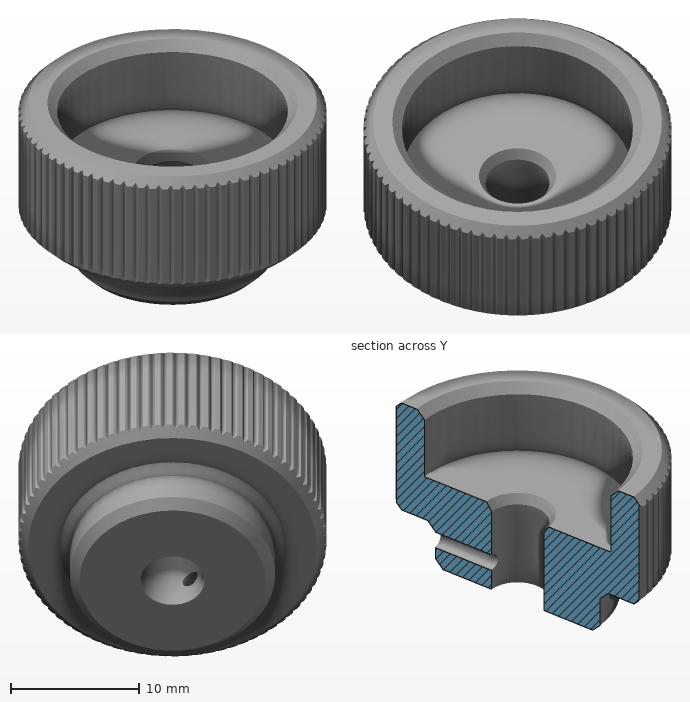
import cadquery as cq
import math

total_height = 14.0
head_diameter = 24.0
head_height = 10.0
edge_chamfer = 0.75

collar_diameter = 16.0

recess_diameter = 18.0
recess_depth = 6.0
bore_diameter = 5.0
bore_chamfer_width = 0.5
bore_chamfer_depth = 0.75

pin_hole_diameter = 1.4
pin_hole_height = 2.5

groove_count = 80
groove_depth = 0.25
groove_angle = 90.0
cutter_clearance = 0.1
cutter_wall = 1.0

head_radius = head_diameter / 2
collar_radius = collar_diameter / 2
recess_radius = recess_diameter / 2
bore_radius = bore_diameter / 2
head_bottom = total_height - head_height
recess_floor = total_height - recess_depth


def turned_body():
    """Revolve the half section of the knob about the Z axis."""
    half_section = [
        (bore_radius, 0),
        (collar_radius - edge_chamfer, 0),
        (collar_radius, edge_chamfer),
        (collar_radius, head_bottom - edge_chamfer),
        (collar_radius + edge_chamfer, head_bottom),
        (head_radius - edge_chamfer, head_bottom),
        (head_radius, head_bottom + edge_chamfer),
        (head_radius, total_height - edge_chamfer),
        (head_radius - edge_chamfer, total_height),
        (recess_radius + edge_chamfer, total_height),
        (recess_radius, total_height - edge_chamfer),
        (recess_radius, recess_floor),
        (bore_radius + bore_chamfer_width, recess_floor),
        (bore_radius, recess_floor - bore_chamfer_depth),
    ]
    return cq.Workplane("XZ").polyline(half_section).close().revolve(360, (0, 0), (0, 1))


def knurl_cutter():
    """Ring whose inner wall carries inward teeth, one per knurl groove."""
    pitch_angle = 2 * math.pi / groove_count
    root_radius = head_radius - groove_depth
    slope = math.tan(math.radians(groove_angle / 2))
    tooth_base = head_radius + cutter_clearance
    half_width = (groove_depth + cutter_clearance) * slope
    outline = []
    for index in range(groove_count):
        angle = index * pitch_angle
        for radial, sideways in (
            (tooth_base, -half_width),
            (root_radius, 0),
            (tooth_base, half_width),
        ):
            x = radial * math.cos(angle) - sideways * math.sin(angle)
            y = radial * math.sin(angle) + sideways * math.cos(angle)
            outline.append((x, y))
    ring_radius = tooth_base + cutter_wall
    return (
        cq.Workplane("XY")
        .workplane(offset=head_bottom)
        .circle(ring_radius)
        .polyline(outline)
        .close()
        .extrude(head_height)
    )


def pin_hole():
    """Radial cylinder from the axis out through the -X wall of the collar."""
    return (
        cq.Workplane("YZ")
        .center(0, pin_hole_height)
        .circle(pin_hole_diameter / 2)
        .extrude(-head_radius)
    )


result = turned_body().cut(knurl_cutter()).cut(pin_hole())